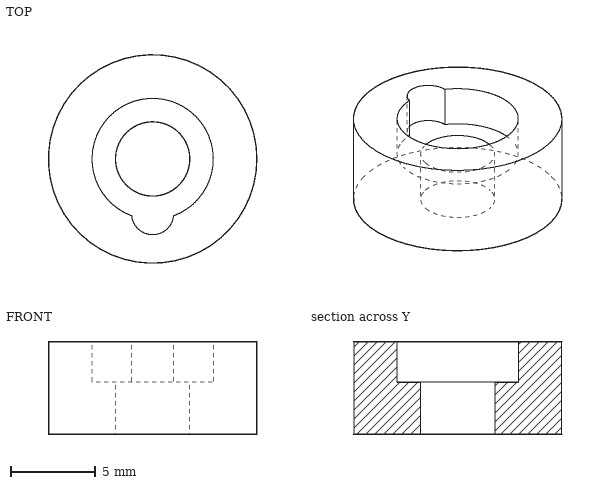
import cadquery as cq

outer_diameter = 12.4
height = 5.5
bore_diameter = 4.4

recess_diameter = 7.2
recess_depth = 2.4
notch_diameter = 2.5
notch_reach = 4.5
notch_offset = notch_reach - notch_diameter / 2

recess_floor = height - recess_depth


def recess_cutter(diameter, y_center=0):
    """Cylinder from the recess floor up to the top face."""
    return (
        cq.Workplane("XY", origin=(0, y_center, recess_floor))
        .circle(diameter / 2)
        .extrude(recess_depth)
    )


ring = (
    cq.Workplane("XY")
    .circle(outer_diameter / 2)
    .circle(bore_diameter / 2)
    .extrude(height)
)

result = (
    ring
    .cut(recess_cutter(recess_diameter))
    .cut(recess_cutter(notch_diameter, -notch_offset))
)